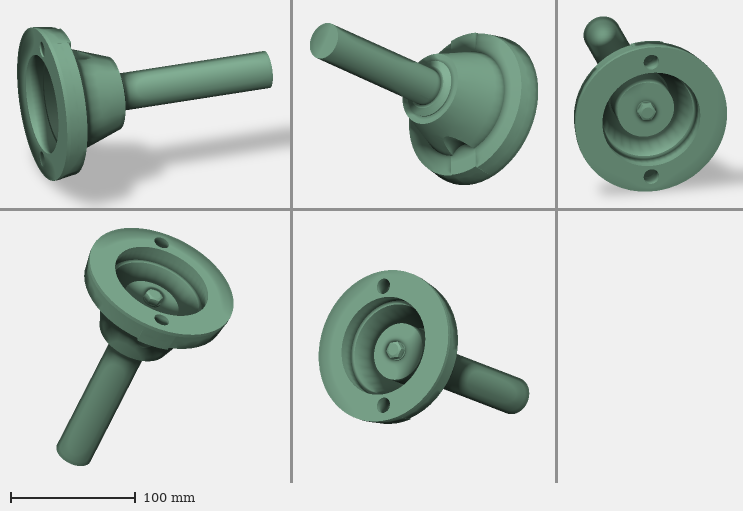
import cadquery as cq
import math


rim_diameter = 124.0
rim_radius = rim_diameter / 2
rim_height = 3.0
flange_height = 17.9
flange_top_radius = 59.7
base_height = 20.1

cone_foot_radius = 43.7
cone_top_radius = 29.5
cone_top = 60.5

boss_radius = 23.2
boss_edge_top = 61.5
boss_top = 64.6
boss_top_radius = 17.5
rod_radius = 15.0
collar_top = 70.0

mouth_radius = 40.0
mouth_depth = 14.2
ledge_inner_radius = 37.0
floor_radius = 24.9
floor_depth = 48.6
seat_depth = 21.7

hole_offset = 49.2
hole_radius = 6.3
hole_depth = 15.2
scallop_radius = 13.3
pad_top_radius = 59.7
pad_half_width_top = 13.0
pad_half_width_bottom = 13.7

tongue_width = 13.3
tongue_length = 9.7
tongue_depth = 4.8

rod_end = 190.0
bolt_washer_radius = 7.5
bolt_washer_thickness = 1.1
bolt_flats = 12.5
bolt_head_height = 7.5
bolt_tip_radius = 4.8
bolt_chamfer_height = 1.1
bolt_shank_radius = 3.8
bolt_shank_end = 95.0

SIDES = (1, -1)


def revolve(points):
    """Turn a closed (radius, y) outline around the Y axis."""
    return cq.Workplane("XY").polyline(points).close().revolve(360, (0, 0, 0), (0, 1, 0))


def cylinder(radius, start, end, z=0.0):
    """Cylinder along Y from start to end, with its axis at height z."""
    profile = cq.Workplane("XZ", origin=(0, start, z)).circle(radius)
    return profile.extrude(start - end)


def make_pad(side):
    """Sector of the flange side raised to the full base height."""
    full_ring = revolve([
        (0, rim_height),
        (rim_radius, rim_height),
        (pad_top_radius, base_height),
        (0, base_height),
    ])
    wedge = (
        cq.Workplane("XY")
        .polyline([
            (-pad_half_width_bottom, rim_height),
            (pad_half_width_bottom, rim_height),
            (pad_half_width_top, base_height),
            (-pad_half_width_top, base_height),
        ])
        .close()
        .extrude(side * rim_radius)
    )
    inner_core = cylinder(mouth_radius, 0, base_height)
    return full_ring.intersect(wedge).cut(inner_core)


def make_tongue(side):
    """Key on the collar, flush with the rod surface."""
    ring_slice = cylinder(rod_radius, collar_top, collar_top + tongue_length)
    block = cq.Workplane("XY").box(tongue_width, tongue_length, tongue_depth).translate((
        0,
        collar_top + tongue_length / 2,
        side * (rod_radius - tongue_depth / 2),
    ))
    return ring_slice.intersect(block)


def make_housing():
    housing = revolve([
        (0, seat_depth),
        (boss_radius, seat_depth),
        (boss_radius, floor_depth),
        (floor_radius, floor_depth),
        (ledge_inner_radius, mouth_depth),
        (mouth_radius, mouth_depth),
        (mouth_radius, 0),
        (rim_radius, 0),
        (rim_radius, rim_height),
        (flange_top_radius, flange_height),
        (cone_foot_radius, base_height),
        (cone_top_radius, cone_top),
        (boss_radius, cone_top),
        (boss_radius, boss_edge_top),
        (boss_top_radius, boss_top),
        (rod_radius, boss_top),
        (rod_radius, collar_top),
        (0, collar_top),
    ])
    for side in SIDES:
        z = side * hole_offset
        housing = housing.union(make_pad(side))
        housing = housing.cut(cylinder(scallop_radius, base_height, cone_top, z))
        housing = housing.cut(cylinder(hole_radius, 0, hole_depth, z))
        housing = housing.union(make_tongue(side))
    return housing.cut(cylinder(bolt_shank_radius, seat_depth, collar_top))


def make_rod():
    rod = cylinder(rod_radius, collar_top, rod_end)
    for side in SIDES:
        rod = rod.cut(make_tongue(side))
    return rod.cut(cylinder(bolt_shank_radius, collar_top, bolt_shank_end))


def make_bolt():
    """Hexagon bolt whose washer face rests on the hub."""
    head_front = seat_depth - bolt_head_height
    corner_radius = bolt_flats / 2 / math.cos(math.pi / 6)
    hexagon = (
        cq.Workplane("XZ", origin=(0, head_front, 0))
        .polygon(6, 2 * corner_radius)
        .extrude(-bolt_head_height)
    )
    chamfer_cone = revolve([
        (0, head_front),
        (bolt_tip_radius, head_front),
        (corner_radius, head_front + bolt_chamfer_height),
        (corner_radius, seat_depth),
        (0, seat_depth),
    ])
    washer = cylinder(bolt_washer_radius, seat_depth - bolt_washer_thickness, seat_depth)
    shank = cylinder(bolt_shank_radius, seat_depth, bolt_shank_end)
    return hexagon.intersect(chamfer_cone).union(washer).union(shank)


housing = make_housing()
rod = make_rod()
bolt = make_bolt()

result = cq.Compound.makeCompound([housing.val(), rod.val(), bolt.val()])